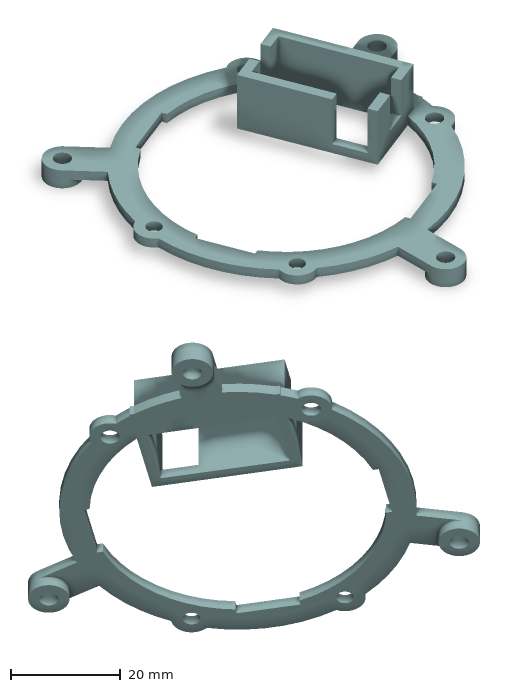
import cadquery as cq
import math

plate_thickness = 2.0
ring_outer_diameter = 65.0
ring_inner_diameter = 54.0

notch_width = 11.9
notch_reach = 27.4

overall_length = 83.8
lug_diameter = 7.5
large_hole_diameter = 3.5
small_hole_diameter = 3.2
spacer_height = 2.0
side_arm_x = (overall_length - lug_diameter) / 2
side_arm_y = -14.4
top_arm_y = 40.8
arm_points = [(0, top_arm_y), (side_arm_x, side_arm_y), (-side_arm_x, side_arm_y)]

upper_lug_x = 18.7
upper_lug_y = 24.5
upper_lugs = [(-upper_lug_x, upper_lug_y), (upper_lug_x, upper_lug_y)]
lower_lug_x = 14.25
lower_lug_y = -27.15
lower_lugs = [(-lower_lug_x, lower_lug_y), (lower_lug_x, lower_lug_y)]

holder_length = 28.0
holder_width = 16.1
holder_wall = 2.0
holder_back_y = 25.6
holder_top = plate_thickness + 10.0
holder_center_y = holder_back_y - holder_width / 2
side_slot_width = 5.0
side_slot_floor = plate_thickness + 2.0
front_slot_width = 7.0
front_slot_floor = plate_thickness


def block(x_min, x_max, y_min, y_max, z_min, z_max):
    """Box given by its limits along each axis."""
    return cq.Workplane("XY").box(
        x_max - x_min, y_max - y_min, z_max - z_min, centered=False
    ).translate((x_min, y_min, z_min))


def discs(points, diameter, z_min, z_max):
    """Upright cylinders at the given points."""
    plane = cq.Workplane("XY").workplane(offset=z_min)
    return plane.pushPoints(points).circle(diameter / 2).extrude(z_max - z_min)


def make_arm(x, y):
    """Straight radial bar from the ring axis to an arm hole."""
    length = math.hypot(x, y)
    bar = block(0, length, -lug_diameter / 2, lug_diameter / 2, 0, plate_thickness)
    return bar.rotate((0, 0, 0), (0, 0, 1), math.degrees(math.atan2(y, x)))


def make_bore():
    """Round opening with its three notches."""
    bore = cq.Workplane("XY").circle(ring_inner_diameter / 2).extrude(plate_thickness)
    half = notch_width / 2
    bore = bore.union(block(-notch_reach, notch_reach, -half, half, 0, plate_thickness))
    return bore.union(block(-half, half, -notch_reach, 0, 0, plate_thickness))


def make_plate():
    """Ring with arms, lugs and the spacers below the arm ends."""
    plate = cq.Workplane("XY").circle(ring_outer_diameter / 2).extrude(plate_thickness)
    for x, y in arm_points:
        plate = plate.union(make_arm(x, y))
    plate = plate.union(discs(upper_lugs + lower_lugs, lug_diameter, 0, plate_thickness))
    plate = plate.cut(make_bore())
    return plate.union(discs(arm_points, lug_diameter, -spacer_height, plate_thickness))


def make_holder():
    """Rectangular frame with slots in both ends and in the front wall."""
    outer_x = holder_length / 2
    inner_x = outer_x - holder_wall
    front_y = holder_back_y - holder_width
    inner_front_y = front_y + holder_wall
    inner_back_y = holder_back_y - holder_wall
    half_slot = side_slot_width / 2

    ring_overlap_y = (ring_inner_diameter + ring_outer_diameter) / 4
    holder = block(-outer_x, outer_x, front_y, holder_back_y, 0, holder_top)
    holder = holder.union(block(-outer_x, outer_x, holder_back_y, ring_overlap_y, 0, plate_thickness))
    holder = holder.cut(block(-inner_x, inner_x, inner_front_y, inner_back_y, 0, holder_top))
    holder = holder.cut(block(
        -outer_x, outer_x, holder_center_y - half_slot, holder_center_y + half_slot,
        side_slot_floor, holder_top,
    ))
    return holder.cut(block(
        inner_x - front_slot_width, inner_x, front_y, inner_front_y, front_slot_floor, holder_top,
    ))


def make_holder_opening():
    """Clear opening through the plate inside the holder."""
    half_length = holder_length / 2 - holder_wall
    half_width = holder_width / 2 - holder_wall
    return block(
        -half_length, half_length, holder_center_y - half_width, holder_center_y + half_width,
        0, plate_thickness,
    )


result = make_plate().union(make_holder()).cut(make_holder_opening())
result = result.cut(discs(arm_points + upper_lugs, large_hole_diameter, -spacer_height, plate_thickness))
result = result.cut(discs(lower_lugs, small_hole_diameter, 0, plate_thickness))